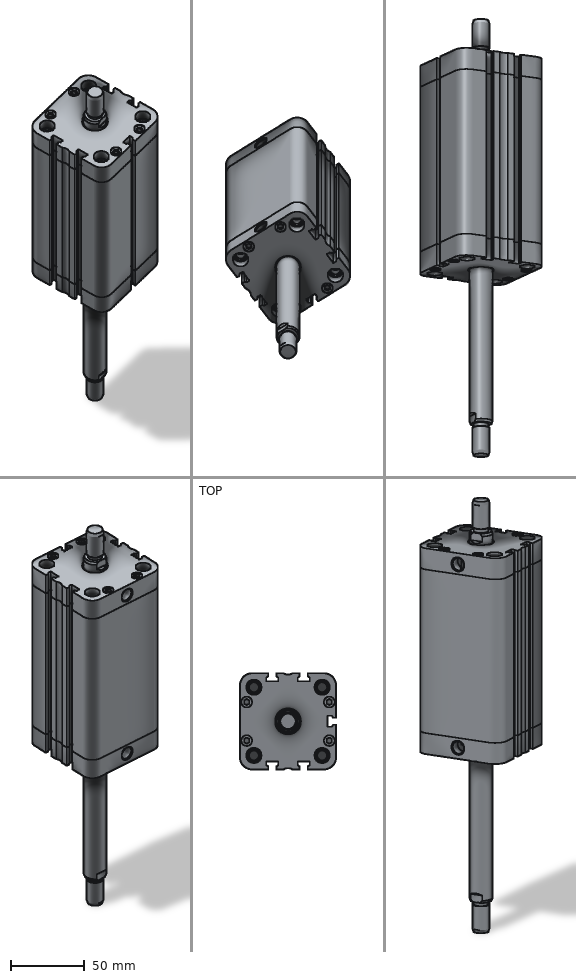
import cadquery as cq
import math


ROD_LENGTH = 305.0
SIDE = 65.5
HALF_SIDE = SIDE / 2
CORNER_RADIUS = 8.5
CAP_LENGTH = 15.0
HOUSING_BOTTOM = 130.0
HOUSING_TOP = 275.5
BARREL_BOTTOM = HOUSING_BOTTOM + CAP_LENGTH
BARREL_LENGTH = HOUSING_TOP - HOUSING_BOTTOM - 2 * CAP_LENGTH

SLOT_OFFSET = 10.7
SLOT_MOUTH = 5.5
SLOT_WIDTH = 8.0
SLOT_LIP = 2.0
SLOT_FLARE = 1.0
SLOT_OVERSHOOT = 3.0
SLOT_DEPTH = 5.5
SIDE_SLOT_MOUTH = 4.5
SIDE_SLOT_WIDTH = 7.3
SIDE_SLOT_DEPTH = 5.8

GROOVE_WIDTH = 6.0
GROOVE_DEPTH = 1.0
GROOVE_RADIUS = (GROOVE_WIDTH**2 / 4 + GROOVE_DEPTH**2) / (2 * GROOVE_DEPTH)

MOUNT_OFFSET = 23.2
MOUNT_COUNTERBORE = 10.5
MOUNT_COUNTERBORE_DEPTH = 7.5
MOUNT_MOUTH = 8.5
MOUNT_CORE = 6.7

SEAT_X = 28.0
SEAT_Y = 13.0
SEAT_DIAMETER = 7.3
SEAT_DEPTH = 0.5
SOCKET_ACROSS_FLATS = 3.7
SOCKET_DEPTH = 1.8

PORT_FROM_END = 8.0
PORT_MOUTH = 10.0
PORT_DIAMETER = 8.5
PORT_DEPTH = 7.5
PASSAGE_DIAMETER = 3.5

ROD_DIAMETER = 16.0
BORE_MOUTH = 17.7
THREAD_DIAMETER = 12.0
THREAD_TIP = 10.5
THREAD_TIP_LENGTH = 2.5
NECK_DIAMETER = 10.0
NECK_LENGTH = 2.7
SHOULDER_FROM_TIP = 22.0
SHOULDER_DIAMETER = 14.3
SHOULDER_CHAMFER = 1.8
FLATS_ACROSS = 13.0
FLATS_LENGTH = 5.5


def slot_profile(mouth, width, depth):
    """T-slot section that opens upward at y = 0, with a small overshoot above the mouth."""
    return (
        cq.Workplane("XY")
        .moveTo(-mouth / 2, SLOT_OVERSHOOT)
        .lineTo(-mouth / 2, -SLOT_LIP)
        .lineTo(-width / 2, -SLOT_LIP - SLOT_FLARE)
        .lineTo(-width / 2, -depth)
        .lineTo(width / 2, -depth)
        .lineTo(width / 2, -SLOT_LIP - SLOT_FLARE)
        .lineTo(mouth / 2, -SLOT_LIP)
        .lineTo(mouth / 2, SLOT_OVERSHOOT)
        .close()
    )


def housing_section(length):
    """Slotted square profile shared by barrel and caps, from z = 0 up to the length."""
    block = cq.Workplane("XY").rect(SIDE, SIDE).extrude(length).edges("|Z").fillet(CORNER_RADIUS)
    slot = slot_profile(SLOT_MOUTH, SLOT_WIDTH, SLOT_DEPTH).extrude(length)
    groove = cq.Workplane("XY").circle(GROOVE_RADIUS).extrude(length)
    groove = groove.translate((0, HALF_SIDE - GROOVE_DEPTH + GROOVE_RADIUS, 0))
    for turn in (0, 180):
        for x in (-SLOT_OFFSET, SLOT_OFFSET):
            block = block.cut(slot.translate((x, HALF_SIDE, 0)).rotate((0, 0, 0), (0, 0, 1), turn))
        block = block.cut(groove.rotate((0, 0, 0), (0, 0, 1), turn))
    side_slot = slot_profile(SIDE_SLOT_MOUTH, SIDE_SLOT_WIDTH, SIDE_SLOT_DEPTH).extrude(length)
    side_slot = side_slot.translate((0, HALF_SIDE, 0)).rotate((0, 0, 0), (0, 0, 1), -90)
    return block.cut(side_slot)


def chamfered_hole(mouth, diameter, depth):
    """Cutter for a hole going down from z = 0, with a 45 degree chamfer at its mouth."""
    chamfer = (mouth - diameter) / 2
    return (
        cq.Workplane("XZ")
        .polyline([
            (0, 0),
            (mouth / 2, 0),
            (diameter / 2, -chamfer),
            (diameter / 2, -depth),
            (0, -depth),
        ])
        .close()
        .revolve(360, (0, 0), (0, 1))
    )


def end_cap():
    """Upper cap, with its outer face at z = CAP_LENGTH and its barrel side at z = 0."""
    cap = housing_section(CAP_LENGTH)

    rod_bore = chamfered_hole(BORE_MOUTH, ROD_DIAMETER, CAP_LENGTH)
    cap = cap.cut(rod_bore.translate((0, 0, CAP_LENGTH)))

    mount = chamfered_hole(MOUNT_MOUTH, MOUNT_CORE, CAP_LENGTH - MOUNT_COUNTERBORE_DEPTH)
    mount = mount.translate((0, 0, -MOUNT_COUNTERBORE_DEPTH))
    mount = mount.union(cq.Workplane("XY").circle(MOUNT_COUNTERBORE / 2).extrude(-MOUNT_COUNTERBORE_DEPTH))
    seat = cq.Workplane("XY").circle(SEAT_DIAMETER / 2).extrude(-SEAT_DEPTH)
    socket_diameter = SOCKET_ACROSS_FLATS / math.cos(math.pi / 6)
    socket = cq.Workplane("XY").polygon(6, socket_diameter).extrude(-SEAT_DEPTH - SOCKET_DEPTH)
    seat = seat.union(socket.rotate((0, 0, 0), (0, 0, 1), 90))
    for side_x in (-1, 1):
        for side_y in (-1, 1):
            cap = cap.cut(mount.translate((side_x * MOUNT_OFFSET, side_y * MOUNT_OFFSET, CAP_LENGTH)))
            cap = cap.cut(seat.translate((side_x * SEAT_X, side_y * SEAT_Y, CAP_LENGTH)))

    port_height = CAP_LENGTH - PORT_FROM_END
    port = chamfered_hole(PORT_MOUTH, PORT_DIAMETER, PORT_DEPTH).rotate((0, 0, 0), (0, 1, 0), -90)
    cap = cap.cut(port.translate((-HALF_SIDE, 0, port_height)))
    passage = cq.Workplane("XY").circle(PASSAGE_DIAMETER / 2).extrude(port_height)
    return cap.cut(passage.translate((-HALF_SIDE + PORT_DEPTH, 0, 0)))


def barrel_body():
    """Housing section between the caps, bored for the rod."""
    section = housing_section(BARREL_LENGTH)
    rod_bore = cq.Workplane("XY").circle(ROD_DIAMETER / 2).extrude(BARREL_LENGTH)
    return section.cut(rod_bore).translate((0, 0, BARREL_BOTTOM))


def rod_half():
    """Upper half of the rod from z = 0 to its tip at half the rod length."""
    tip = ROD_LENGTH / 2
    shoulder = tip - SHOULDER_FROM_TIP
    half = (
        cq.Workplane("XZ")
        .polyline([
            (0, 0),
            (ROD_DIAMETER / 2, 0),
            (ROD_DIAMETER / 2, shoulder - SHOULDER_CHAMFER),
            (SHOULDER_DIAMETER / 2, shoulder),
            (NECK_DIAMETER / 2, shoulder),
            (NECK_DIAMETER / 2, shoulder + NECK_LENGTH),
            (THREAD_DIAMETER / 2, shoulder + NECK_LENGTH),
            (THREAD_DIAMETER / 2, tip - THREAD_TIP_LENGTH),
            (THREAD_TIP / 2, tip),
            (0, tip),
        ])
        .close()
        .revolve(360, (0, 0), (0, 1))
    )

    flat_x = FLATS_ACROSS / 2
    flat_end = shoulder - FLATS_LENGTH
    flat = (
        cq.Workplane("XZ")
        .polyline([
            (flat_x, shoulder),
            (flat_x, flat_end),
            (flat_x + ROD_DIAMETER, flat_end - ROD_DIAMETER),
            (flat_x + ROD_DIAMETER, shoulder),
        ])
        .close()
        .extrude(ROD_DIAMETER / 2, both=True)
    )
    return half.cut(flat).cut(flat.mirror("YZ"))


def piston_rod():
    """Symmetrical rod made of two mirrored halves."""
    half = rod_half()
    return half.union(half.mirror("XY")).translate((0, 0, ROD_LENGTH / 2))


cap_shape = end_cap()
upper_cap = cap_shape.translate((0, 0, HOUSING_TOP - CAP_LENGTH))
lower_cap = cap_shape.mirror("XY").translate((0, 0, BARREL_BOTTOM))
barrel = barrel_body()
rod = piston_rod()

result = cq.Compound.makeCompound([upper_cap.val(), barrel.val(), lower_cap.val(), rod.val()])